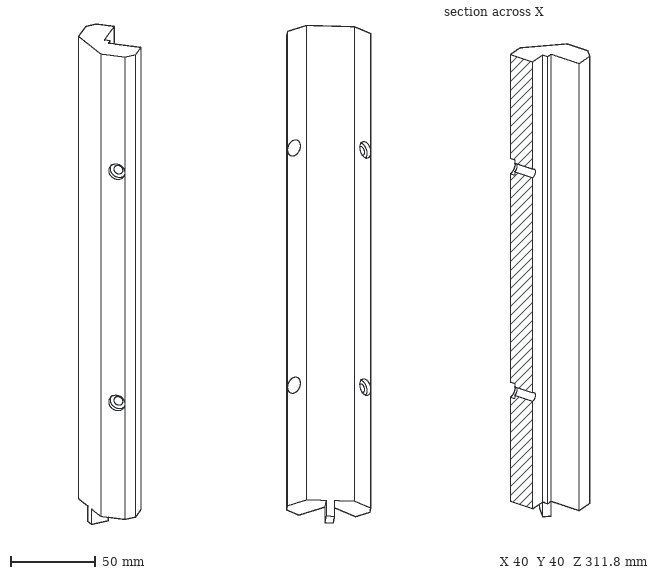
import cadquery as cq
import math

leg_length = 40.0
leg_thickness = 16.15
rail_height = 301.75
corner_bevel = 20.05
tip_bevel = 5.0

rib_size = 3.6

tenon_height = 10.0
tenon_width = 5.0

seat_offset = 30.0
seat_heights = [rail_height / 4, rail_height * 3 / 4]
seat_diameter = 10.0

screw_diameter = 5.5
counterbore_depth = 3.0

spot_face_depth = 0.1


def make_rail():
    """L section with a bevelled outer corner, bevelled leg tips and a rib in the inside corner."""
    rib_edge = leg_thickness + rib_size
    outline = [
        (corner_bevel, 0),
        (leg_length - tip_bevel, 0),
        (leg_length, tip_bevel),
        (leg_length, leg_thickness),
        (rib_edge, leg_thickness),
        (rib_edge, rib_edge),
        (leg_thickness, rib_edge),
        (leg_thickness, leg_length),
        (tip_bevel, leg_length),
        (0, leg_length - tip_bevel),
        (0, corner_bevel),
    ]
    return cq.Workplane("XY").polyline(outline).close().extrude(rail_height)


def make_tenon():
    """Block along the diagonal, from flush with the corner bevel to the middle of the rib."""
    outer_end = corner_bevel / 2
    inner_end = leg_thickness + rib_size / 2
    centre = (outer_end + inner_end) / 2
    length = (inner_end - outer_end) * math.sqrt(2)
    return (
        cq.Workplane("XY")
        .transformed(offset=(centre, centre, 0), rotate=(0, 0, 45))
        .rect(length, tenon_width)
        .extrude(-tenon_height)
    )


def make_round_cuts(plane, diameter, depth):
    """Cylinders at the two seats of one leg, starting on the given plane."""
    points = [(seat_offset, height) for height in seat_heights]
    return cq.Workplane(plane).pushPoints(points).circle(diameter / 2).extrude(depth)


def cut_screw_holes(body):
    """Through holes along Y, counterbored from the -Y face (the XZ plane's normal is -Y)."""
    body = body.cut(make_round_cuts("XZ", screw_diameter, -leg_thickness))
    return body.cut(make_round_cuts("XZ", seat_diameter, -counterbore_depth))


def cut_spot_faces(body):
    """Shallow round spot faces in the -X face."""
    return body.cut(make_round_cuts("YZ", seat_diameter, spot_face_depth))


result = make_rail().union(make_tenon())
result = cut_screw_holes(result)
result = cut_spot_faces(result)